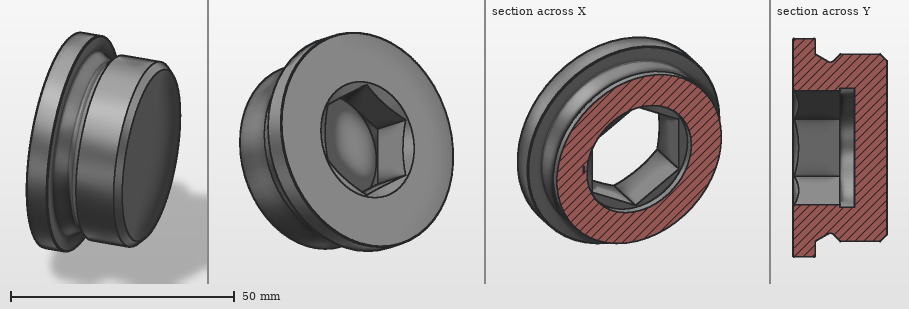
import cadquery as cq
import math

length = 21.0
flange_radius = 24.5
flange_thickness = 5.0
flange_edge = 0.2

body_radius = 21.0
body_start = 10.6
lead_in = 1.5

groove_radius = 1.0
groove_floor = 19.2
flange_flank_angle = math.radians(30)
body_flank_angle = math.radians(45)
root_fillet = 0.3

hex_across_flats = 22.05
hex_depth = 10.5
mouth_radius = 13.25
mouth_cone_angle = math.radians(30)
undercut_radius = mouth_radius
socket_depth = 13.7


def arc_point(centre_x, angle):
    """Point on the groove arc, the angle measured from its lowest point towards +X."""
    centre_r = groove_floor + groove_radius
    return (
        centre_x + groove_radius * math.sin(angle),
        centre_r - groove_radius * math.cos(angle),
    )


def revolve_about_x(profile):
    return profile.close().revolve(360, (0, 0, 0), (1, 0, 0))


def make_body():
    flank_end_x, flank_end_r = arc_point(0, body_flank_angle)
    centre_x = body_start - (body_radius - flank_end_r) / math.tan(body_flank_angle) - flank_end_x

    arc_start = arc_point(centre_x, -flange_flank_angle)
    arc_bottom = arc_point(centre_x, 0)
    arc_end = arc_point(centre_x, body_flank_angle)
    flank_run = arc_start[0] - flange_thickness
    neck_radius = arc_start[1] + flank_run * math.tan(flange_flank_angle)

    fillet_reach = root_fillet * math.tan((math.pi / 2 - flange_flank_angle) / 2)
    fillet_end = (
        flange_thickness + fillet_reach * math.cos(flange_flank_angle),
        neck_radius - fillet_reach * math.sin(flange_flank_angle),
    )

    profile = (
        cq.Workplane("XY")
        .lineTo(0, flange_radius - flange_edge)
        .lineTo(flange_edge, flange_radius)
        .lineTo(flange_thickness - flange_edge, flange_radius)
        .lineTo(flange_thickness, flange_radius - flange_edge)
        .lineTo(flange_thickness, neck_radius + fillet_reach)
        .tangentArcPoint(fillet_end, relative=False)
        .lineTo(*arc_start)
        .threePointArc(arc_bottom, arc_end)
        .lineTo(body_start, body_radius)
        .lineTo(length - lead_in, body_radius)
        .lineTo(length, body_radius - lead_in)
        .lineTo(length, 0)
    )
    return revolve_about_x(profile)


def make_hexagon():
    across_corners = hex_across_flats / math.cos(math.radians(30))
    return (
        cq.Workplane("YZ")
        .transformed(rotate=(0, 0, 90))
        .polygon(6, across_corners)
        .extrude(hex_depth)
    )


def make_mouth():
    profile = (
        cq.Workplane("XY")
        .lineTo(0, mouth_radius)
        .lineTo(mouth_radius * math.tan(mouth_cone_angle), 0)
    )
    return revolve_about_x(profile)


def make_undercut():
    return (
        cq.Workplane("YZ", origin=(hex_depth, 0, 0))
        .circle(undercut_radius)
        .extrude(socket_depth - hex_depth)
    )


result = make_body().cut(make_hexagon()).cut(make_mouth()).cut(make_undercut())